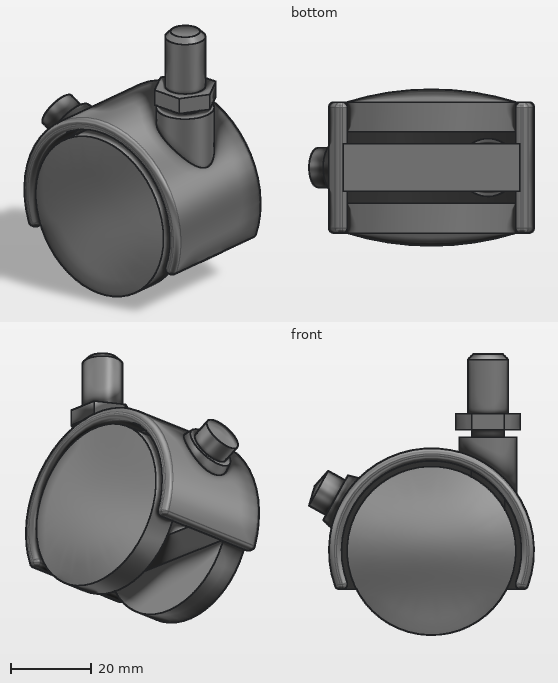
import cadquery as cq
import math


WHEEL_RADIUS = 21.0
WIDTH_OVER_WHEELS = 39.0
WHEEL_INNER_Y = 8.9

HOOD_RADIUS = 25.55
HOOD_THICKNESS = 3.15
HOOD_HALF_WIDTH = 16.3
HOOD_BOTTOM_Z = -9.6
RIM_FILLET = 1.3
WEB_HALF_THICKNESS = 5.9

POST_X = 14.1
POST_RADIUS = 7.2
POST_TOP_Z = 28.3

KNOB_ANGLE = 29.0
KNOB_RADIUS = 5.0
KNOB_REACH = 32.1
KNOB_TIP_HEIGHT = 1.1
COLLAR_RADIUS = 6.4
COLLAR_REACH = 27.3
COLLAR_DRAFT = 15.0
KNOB_ROOT_REACH = 22.4

NECK_RADIUS = 4.05
HEX_ACROSS_FLATS = 14.0
HEX_BOTTOM_Z = 30.1
HEX_TOP_Z = 34.15
BOLT_RADIUS = 5.05
BOLT_TOP_Z = 49.0
BOLT_CHAMFER = 1.4

DOME_HEIGHT = WIDTH_OVER_WHEELS / 2 - HOOD_HALF_WIDTH
HOOD_INNER_RADIUS = HOOD_RADIUS - HOOD_THICKNESS
HOOD_MID_RADIUS = HOOD_RADIUS - HOOD_THICKNESS / 2


def y_cylinder(radius, half_length):
    """Cylinder on the wheel axis, centred on Y = 0."""
    return cq.Workplane("XZ").circle(radius).extrude(half_length, both=True)


def cut_below_hood(body):
    """Remove everything lower than the flat bottom of the hood."""
    size = 4 * HOOD_RADIUS
    waste = cq.Workplane("XY").box(size, size, size, centered=(True, True, False))
    return body.cut(waste.translate((0, 0, HOOD_BOTTOM_Z - size)))


def make_hood():
    """Open-bottomed ring with every edge rounded."""
    ring = y_cylinder(HOOD_RADIUS, HOOD_HALF_WIDTH).cut(y_cylinder(HOOD_INNER_RADIUS, HOOD_HALF_WIDTH))
    hood = cut_below_hood(ring)
    return hood.edges().fillet(RIM_FILLET)


def make_web():
    """Solid disc segment between the wheels."""
    return cut_below_hood(y_cylinder(HOOD_MID_RADIUS, WEB_HALF_THICKNESS))


def make_post():
    """Round post that carries the stem, running down to the wheel axis level."""
    return cq.Workplane("XY").center(POST_X, 0).circle(POST_RADIUS).extrude(POST_TOP_Z)


def make_brake_knob():
    """Drafted collar and cone-ended knob, turned about an axis through the wheel axis."""
    collar_length = COLLAR_REACH - KNOB_ROOT_REACH
    collar_root_radius = COLLAR_RADIUS + collar_length * math.tan(math.radians(COLLAR_DRAFT))
    upright = (
        cq.Workplane("XZ")
        .moveTo(0, KNOB_ROOT_REACH)
        .lineTo(collar_root_radius, KNOB_ROOT_REACH)
        .lineTo(COLLAR_RADIUS, COLLAR_REACH)
        .lineTo(KNOB_RADIUS, COLLAR_REACH)
        .lineTo(KNOB_RADIUS, KNOB_REACH)
        .lineTo(0, KNOB_REACH + KNOB_TIP_HEIGHT)
        .close()
        .revolve(360, (0, 0, 0), (0, 1, 0))
    )
    return upright.rotate((0, 0, 0), (0, 1, 0), KNOB_ANGLE - 90)


def make_housing():
    knob = make_brake_knob().cut(y_cylinder(HOOD_MID_RADIUS, HOOD_HALF_WIDTH))
    return make_hood().union(make_web()).union(make_post()).union(knob)


def make_wheel(side):
    """Wheel with a spherical outer face, its rim flush with the hood; side is +1 or -1 along Y."""
    apex_y = HOOD_HALF_WIDTH + DOME_HEIGHT
    sphere_radius = (WHEEL_RADIUS**2 + DOME_HEIGHT**2) / (2 * DOME_HEIGHT)
    half_angle = math.asin(WHEEL_RADIUS / sphere_radius) / 2
    mid_radius = sphere_radius * math.sin(half_angle)
    mid_y = apex_y - sphere_radius * (1 - math.cos(half_angle))
    return (
        cq.Workplane("XY")
        .moveTo(0, side * WHEEL_INNER_Y)
        .lineTo(WHEEL_RADIUS, side * WHEEL_INNER_Y)
        .lineTo(WHEEL_RADIUS, side * HOOD_HALF_WIDTH)
        .threePointArc((mid_radius, side * mid_y), (0, side * apex_y))
        .close()
        .revolve(360, (0, 0, 0), (0, 1, 0))
    )


def make_stem():
    """Neck standing on the post, hexagon and chamfered bolt in one piece."""
    hex_corner_diameter = HEX_ACROSS_FLATS / math.cos(math.pi / 6)
    neck = (
        cq.Workplane("XY", origin=(POST_X, 0, POST_TOP_Z))
        .circle(NECK_RADIUS)
        .extrude(HEX_BOTTOM_Z - POST_TOP_Z)
    )
    hexagon = (
        cq.Workplane("XY", origin=(POST_X, 0, HEX_BOTTOM_Z))
        .polygon(6, hex_corner_diameter)
        .extrude(HEX_TOP_Z - HEX_BOTTOM_Z)
    )
    bolt = (
        cq.Workplane("XY", origin=(POST_X, 0, HEX_TOP_Z))
        .circle(BOLT_RADIUS)
        .extrude(BOLT_TOP_Z - HEX_TOP_Z)
        .faces(">Z")
        .chamfer(BOLT_CHAMFER)
    )
    return neck.union(hexagon).union(bolt)


housing = make_housing()
wheels = [make_wheel(side) for side in (-1, 1)]
stem = make_stem()

result = cq.Compound.makeCompound([housing.val(), *[wheel.val() for wheel in wheels], stem.val()])